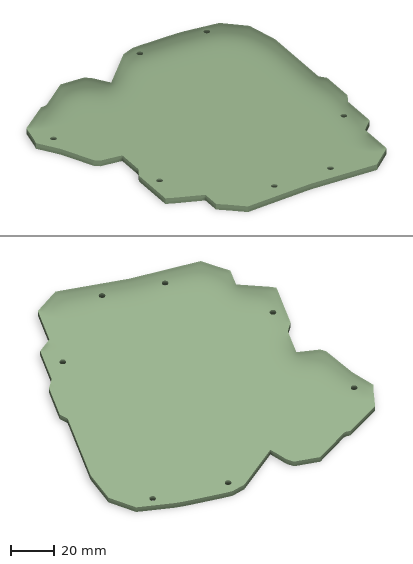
import cadquery as cq

PLATE_THICKNESS = 3.0
HOLE_DIAMETER = 3.0

OUTLINE_CORNERS = [
    (0, 105.2),
    (0.3, 109.8),
    (2.6, 127.5),
    (12.1, 138.0),
    (28.4, 142.0),
    (66.4, 142.0),
    (69.7, 144.7),
    (87.5, 144.7),
    (92.7, 142.0),
    (111.5, 142.0),
    (117.5, 135.8),
    (136.5, 135.8),
    (146.2, 124.5),
    (144.5, 89.3),
    (146.2, 54.4),
    (140.3, 47.7),
    (136.5, 43.0),
    (127.2, 43.0),
    (121.5, 28.7),
    (120.0, 25.6),
    (96.8, 25.6),
    (91.7, 28.4),
    (77.6, 28.4),
    (76.2, 17.2),
    (74.3, 14.9),
    (58.0, 7.2),
    (47.5, 0.0),
    (43.7, 1.0),
    (34.0, 3.0),
    (22.1, 18.4),
    (22.1, 20.5),
    (21.6, 21.8),
    (9.8, 36.5),
    (10.4, 49.1),
    (12.9, 52.0),
    (20.8, 57.5),
    (2.6, 75.3),
    (0.1, 81.7),
    (0, 86.1),
]

HOLE_CENTRES = [
    (6.0, 118.5),
    (6.0, 82.2),
    (101.9, 133.9),
    (137.7, 104.5),
    (137.3, 74.3),
    (105.2, 31.6),
    (48.2, 9.0),
]


def make_plate():
    """Extrude the irregular outline to the plate thickness."""
    return cq.Workplane("XY").polyline(OUTLINE_CORNERS).close().extrude(PLATE_THICKNESS)


def drill_mounting_holes(plate):
    """Cut the round holes straight through the plate."""
    drills = (
        cq.Workplane("XY")
        .pushPoints(HOLE_CENTRES)
        .circle(HOLE_DIAMETER / 2)
        .extrude(PLATE_THICKNESS)
    )
    return plate.cut(drills)


result = drill_mounting_holes(make_plate())